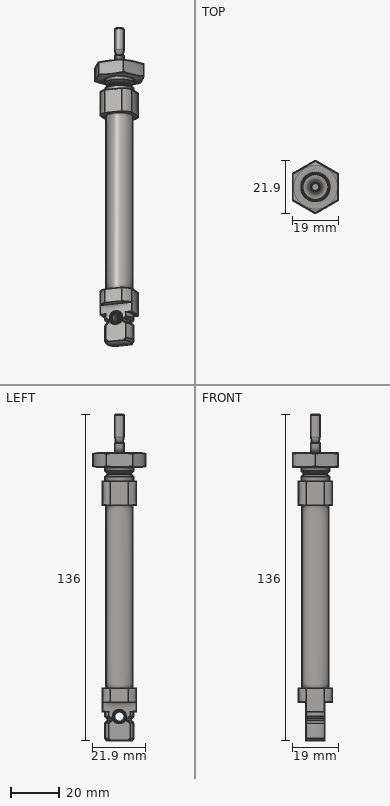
import cadquery as cq
import math

total_height = 136.0

barrel_dia = 11.3
head_dia = 16.0
head_across_flats = 14.1
rear_head_top = 21.9
front_head_bottom = 98.2
front_head_top = 108.1

thread_dia = 12.0
thread_end_dia = 10.6
groove_dia = 10.0
groove_cone_length = 1.0
thread_end_length = 1.0
front_shoulder_top = 109.9
front_groove_top = 112.5
front_neck_top = 120.0
rear_neck_top = 12.1
rear_shoulder_bottom = 10.2
rear_groove_bottom = 7.3

tang_thickness = 7.9
tang_top = 16.0
cross_hole_dia = 4.1
cross_hole_recess_dia = 5.0
cross_hole_recess_depth = 0.7
cross_hole_mouth_dia = 5.7
cross_hole_height = 10.0
cross_hole_chamfer = (cross_hole_mouth_dia - cross_hole_recess_dia) / 2

nut_across_flats = 19.0
nut_height = 6.0
nut_face_dia = 18.2
nut_chamfer_angle = 12.0
nut_sides = 6
nut_half_sector = 180 / nut_sides
nut_corner_dia = nut_across_flats / math.cos(math.radians(nut_half_sector))

rod_dia = 4.0
rod_groove_dia = 3.3
rod_tip_chamfer = 0.4
rod_groove_bottom = 124.0
rod_groove_top = 126.6
rod_groove_lower_cone = (rod_dia - rod_groove_dia) / 2
rod_groove_upper_cone = 1.4
rod_bottom = front_head_bottom


def cylinder(diameter, bottom, top):
    """Round bar on the Z axis."""
    return cq.Workplane("XY").workplane(offset=bottom).circle(diameter / 2).extrude(top - bottom)


def revolve_profile(points):
    """Solid of revolution about Z from (radius, height) points."""
    return cq.Workplane("XZ").polyline(points).close().revolve(360, (0, 0, 0), (0, 1, 0))


def head(bottom, top):
    """Round head trimmed by four flats."""
    middle = (bottom + top) / 2
    square = cq.Workplane("XY").box(head_across_flats, head_across_flats, top - bottom)
    return cylinder(head_dia, bottom, top).intersect(square.translate((0, 0, middle)))


def neck(base, shoulder_end, groove_end, tip):
    """Threaded neck running from a head at base to its chamfered tip, up or down."""
    direction = math.copysign(1, tip - base)
    return revolve_profile([
        (0, base),
        (thread_dia / 2, base),
        (thread_dia / 2, shoulder_end),
        (groove_dia / 2, shoulder_end + direction * groove_cone_length),
        (groove_dia / 2, groove_end - direction * groove_cone_length),
        (thread_dia / 2, groove_end),
        (thread_dia / 2, tip - direction * thread_end_length),
        (thread_end_dia / 2, tip),
        (0, tip),
    ])


def trim_tang(body):
    """Cut the rear end down to a tang with flats facing -X and +X."""
    for side in (-1, 1):
        cutter = cq.Workplane("XY").box(head_dia, 2 * head_dia, tang_top, centered=(True, True, False))
        body = body.cut(cutter.translate((side * (tang_thickness + head_dia) / 2, 0, 0)))
    return body


def cross_hole():
    """Through hole along X, recessed and chamfered at both tang faces."""
    half_length = tang_thickness / 2
    profile = [
        (-half_length, 0),
        (-half_length, cross_hole_mouth_dia / 2),
        (-half_length + cross_hole_chamfer, cross_hole_recess_dia / 2),
        (-half_length + cross_hole_recess_depth, cross_hole_recess_dia / 2),
        (-half_length + cross_hole_recess_depth, cross_hole_dia / 2),
        (half_length - cross_hole_recess_depth, cross_hole_dia / 2),
        (half_length - cross_hole_recess_depth, cross_hole_recess_dia / 2),
        (half_length - cross_hole_chamfer, cross_hole_recess_dia / 2),
        (half_length, cross_hole_mouth_dia / 2),
        (half_length, 0),
    ]
    hole = cq.Workplane("XZ").polyline(profile).close().revolve(360, (0, 0, 0), (1, 0, 0))
    return hole.translate((0, 0, cross_hole_height))


def make_housing():
    """Barrel with both heads and necks, bored for the rod."""
    body = cylinder(barrel_dia, rear_head_top, front_head_bottom)
    body = body.union(head(front_head_bottom, front_head_top))
    body = body.union(neck(front_head_top, front_shoulder_top, front_groove_top, front_neck_top))
    body = body.union(head(rear_neck_top, rear_head_top))
    body = body.union(neck(rear_neck_top, rear_shoulder_bottom, rear_groove_bottom, 0))
    body = trim_tang(body).cut(cross_hole())
    return body.cut(cylinder(rod_dia, rod_bottom, front_neck_top))


def make_nut():
    """Hexagonal nut with corners chamfered on both faces, fitted around the front neck."""
    bottom = front_neck_top - nut_height
    chamfer_width = (nut_corner_dia - nut_face_dia) / 2
    chamfer_height = chamfer_width * math.tan(math.radians(nut_chamfer_angle))
    hexagon = (
        cq.Workplane("XY").workplane(offset=bottom).polygon(nut_sides, nut_corner_dia).extrude(nut_height)
        .rotate((0, 0, 0), (0, 0, 1), nut_half_sector)
    )
    envelope = revolve_profile([
        (0, bottom),
        (nut_face_dia / 2, bottom),
        (nut_corner_dia / 2, bottom + chamfer_height),
        (nut_corner_dia / 2, front_neck_top - chamfer_height),
        (nut_face_dia / 2, front_neck_top),
        (0, front_neck_top),
    ])
    return hexagon.intersect(envelope).cut(cylinder(thread_dia, bottom, front_neck_top))


def make_rod():
    """Piston rod with a relief groove below its threaded end."""
    return revolve_profile([
        (0, rod_bottom),
        (rod_dia / 2, rod_bottom),
        (rod_dia / 2, rod_groove_bottom),
        (rod_groove_dia / 2, rod_groove_bottom + rod_groove_lower_cone),
        (rod_groove_dia / 2, rod_groove_top - rod_groove_upper_cone),
        (rod_dia / 2, rod_groove_top),
        (rod_dia / 2, total_height - rod_tip_chamfer),
        (rod_dia / 2 - rod_tip_chamfer, total_height),
        (0, total_height),
    ])


housing = make_housing()
nut = make_nut()
rod = make_rod()

result = cq.Compound.makeCompound([housing.val(), nut.val(), rod.val()])